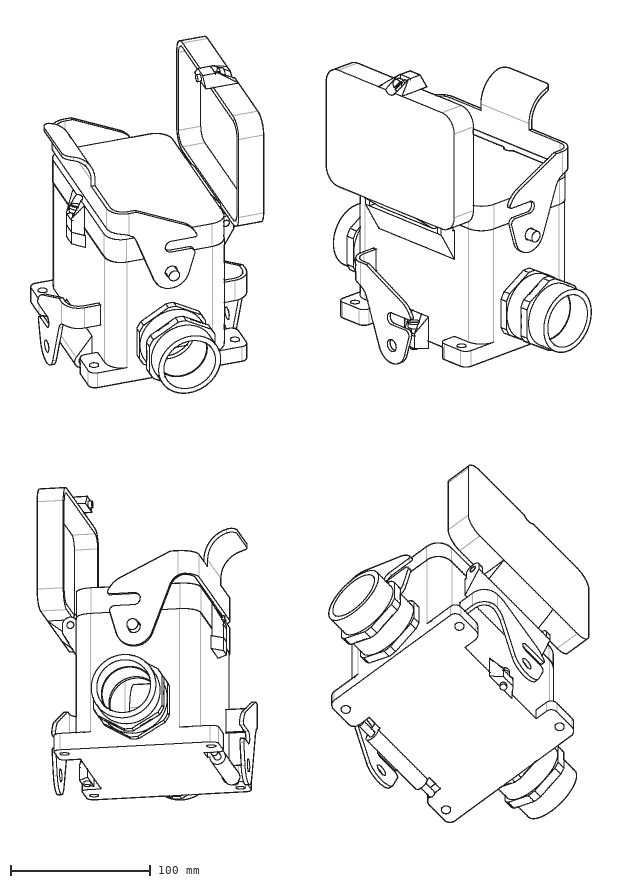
import cadquery as cq
import math


half_length = 66.3
half_depth = 45.0
corner_radius = 12.7
wall = 4.0
foot_height = 19.3
body_top = 94.5
lid_mouth_z = 100.3
cut_reach = 43.8

pin_diameter = 5.0
knuckle_radius = lid_mouth_z - body_top
knuckle_half_width = 27.1
hinge_gap = 7.5
hinge_y = 52.3
ear_radius = 6.0
ear_thickness = 4.0
bracket_half_width = 39.2
bracket_bottom_z = 72.0
pin_overhang = 0.2

lid_height = 19.0
lid_depth = 90.5
lid_floor = 2.2
lid_front_y = hinge_y - hinge_gap - lid_depth

boss_height = 7.2
boss_base_width = 24.5
boss_flat_width = 10.5
boss_overhang = lid_mouth_z - body_top
boss_length = lid_height + boss_overhang
boss_slope_length = 13.1
screw_offset = pin_diameter / 2
screw_tip_length = 2.6
screw_floor = 9.6
head_bottom = 14.2
head_height = 3.3
head_diameter = 9.0
neck_diameter = 4.2
slot_width = 1.3
slot_depth = 1.5
slot_angle = 45
receiver_height = 9.6
receiver_base_width = 26.3

tab_inner_x = 39.2
tab_reach_y = 60.0
tab_height = 12.3
tab_radius = 5.3
tab_hole_diameter = 6.5
tab_hole_x = 55.2
tab_hole_y = 53.5

lever_half_width = 69.8
lever_thickness = 2.8
lever_bend_radius = 12.7
lever_reach = 44.9
lever_foot_radius = 13.8
lever_hole_diameter = 9.0
lever_slot_width = 9.0
lever_slot_z = 20.8
strap_bottom = 37.9
strap_top = 54.7
handle_half_width = 25.0
handle_bend_start = 59.8
handle_bend_radius = 23.0
handle_corner_radius = 6.5
pivot_diameter = 8.0
pivot_tip_x = 76.2
upper_pivot_z = 87.8
lower_pivot_z = 0.2

gland_z = 32.5
gland_tip_x = 109.0
gland_tip_diameter = 47.0
gland_body_diameter = 49.3
gland_bore_diameter = 38.0
gland_entry_diameter = 39.2
gland_entry_depth = 17.5
nut_flats = 50.0
nut_corner_diameter = 54.5
inner_nut_end_x = 72.0
outer_nut_start_x = 86.7
outer_nut_end_x = 93.2


def block(x0, x1, y0, y1, z0, z1):
    return cq.Workplane("XY").box(x1 - x0, y1 - y0, z1 - z0, centered=False).translate((x0, y0, z0))


def rounded_block(half_x, y0, y1, z0, z1, radius):
    return block(-half_x, half_x, y0, y1, z0, z1).edges("|Z").fillet(radius)


def rod_x(diameter, x0, x1, y, z):
    return cq.Workplane("YZ", origin=(x0, 0, 0)).center(y, z).circle(diameter / 2).extrude(x1 - x0)


def rod_z(diameter, z0, z1, x=0, y=0):
    return cq.Workplane("XY", origin=(x, y, z0)).circle(diameter / 2).extrude(z1 - z0)


def tangent_point(point, radius, side):
    """Touching point of the line from a point to a circle about (0, 0); side is +1 or -1."""
    direction = math.atan2(point[1], point[0])
    angle = direction + side * math.acos(radius / math.hypot(*point))
    return (radius * math.cos(angle), radius * math.sin(angle))


def hinge_tab():
    """Tab and knuckle on the +Y edge of a lid, with the hinge axis on the X axis."""
    top_edge = (-hinge_gap, lid_height)
    touch = tangent_point(top_edge, knuckle_radius, -1)
    root_y = -hinge_gap - wall / 2
    return (
        cq.Workplane("YZ", origin=(-knuckle_half_width, 0, 0))
        .moveTo(root_y, 0)
        .lineTo(root_y, lid_height)
        .lineTo(*top_edge)
        .lineTo(*touch)
        .threePointArc((0, -knuckle_radius), (-knuckle_radius, 0))
        .close()
        .extrude(2 * knuckle_half_width)
    )


def trapezoid_boss(base_width, height, length):
    """Upright boss on the plane Y = 0, tapering towards -Y."""
    return (
        cq.Workplane("XY")
        .polyline([
            (-base_width / 2, 0),
            (base_width / 2, 0),
            (boss_flat_width / 2, -height),
            (-boss_flat_width / 2, -height),
        ])
        .close()
        .extrude(length)
    )


def screw_boss():
    """Boss with a sloped top; its wall is the plane Y = 0 and its end the plane Z = 0."""
    slope = (
        cq.Workplane("YZ")
        .polyline([
            (0, boss_length),
            (-boss_height, boss_length - boss_slope_length),
            (-boss_height, boss_length),
        ])
        .close()
        .extrude(boss_base_width, both=True)
    )
    return trapezoid_boss(boss_base_width, boss_height, boss_length).cut(slope)


def screw_recess():
    """Round-backed recess around the screw head, open outwards and upwards."""
    half_width = boss_flat_width / 2
    opening = block(-half_width, half_width, -cut_reach, -screw_offset, screw_floor, boss_length)
    return rod_z(boss_flat_width, screw_floor, boss_length, y=-screw_offset).union(opening)


def screw():
    head_top = head_bottom + head_height
    slot = (
        cq.Workplane("XY")
        .box(2 * head_diameter, slot_width, slot_depth)
        .rotate((0, 0, 0), (0, 0, 1), slot_angle)
        .translate((0, 0, head_top - slot_depth / 2))
    )
    return (
        rod_z(head_diameter, head_bottom, head_top)
        .cut(slot)
        .union(rod_z(neck_diameter, 0, head_bottom))
        .union(rod_z(pin_diameter, -screw_tip_length, 0))
        .translate((0, -screw_offset, 0))
    )


def add_captive_screw(body, place):
    """Adds the boss, recess and screw to a body; place moves them onto its wall."""
    return body.union(place(screw_boss())).cut(place(screw_recess())).union(place(screw()))


def lid():
    """Closed lid with the hinge axis on the X axis and the mouth facing down at Z = 0."""
    back_y = -hinge_gap
    front_y = back_y - lid_depth
    shell = rounded_block(half_length, front_y, back_y, 0, lid_height, corner_radius)
    cavity = rounded_block(
        half_length - wall, front_y + wall, back_y - wall, 0, lid_height - lid_floor, corner_radius - wall
    )
    shell = shell.union(hinge_tab()).cut(cavity)
    shell = shell.cut(rod_x(pin_diameter, -half_length, half_length, 0, 0))
    return add_captive_screw(shell, lambda part: part.translate((0, front_y, -boss_overhang)))


def hinged_lid(opening_angle):
    return lid().rotate((0, 0, 0), (1, 0, 0), -opening_angle).translate((0, hinge_y, lid_mouth_z))


def lever():
    """Lever with its pivot on the X axis and its cross strap on the -Y side."""
    side_plane = cq.Plane(origin=(0, 0, 0), xDir=(0, -1, 0), normal=(-1, 0, 0))
    strap_corner = (26.0, 29.8)
    jaw_corner = (-18.0, 12.3)
    slot_top = lever_slot_z + lever_slot_width / 2
    slot_bottom = lever_slot_z - lever_slot_width / 2
    side_outline = (
        cq.Workplane(side_plane)
        .moveTo(lever_reach, strap_bottom)
        .lineTo(lever_reach, strap_top)
        .lineTo(26.5, strap_top)
        .lineTo(-10.7, 36.8)
        .threePointArc((-16.0, 32.6), (-19.3, 27.5))
        .threePointArc((-19.3, 26.0), (-17.7, slot_top))
        .lineTo(0, slot_top)
        .threePointArc((lever_slot_width / 2, lever_slot_z), (0, slot_bottom))
        .lineTo(-14.7, slot_bottom)
        .threePointArc((-17.0, 14.9), jaw_corner)
        .lineTo(*tangent_point(jaw_corner, lever_foot_radius, 1))
        .threePointArc((0, -lever_foot_radius), tangent_point(strap_corner, lever_foot_radius, -1))
        .lineTo(*strap_corner)
        .tangentArcPoint((37.6, strap_bottom), relative=False)
        .close()
        .extrude(lever_half_width, both=True)
    )
    open_end_y = 2 * lever_foot_radius
    outer = rounded_block(
        lever_half_width, -lever_reach, open_end_y + cut_reach, -cut_reach, 2 * cut_reach, lever_bend_radius
    )
    inner = rounded_block(
        lever_half_width - lever_thickness,
        lever_thickness - lever_reach,
        open_end_y + 2 * cut_reach,
        -cut_reach,
        2 * cut_reach,
        lever_bend_radius - lever_thickness,
    )
    yoke = side_outline.intersect(outer.cut(inner))
    yoke = yoke.cut(rod_x(lever_hole_diameter, -lever_half_width, lever_half_width, 0, 0))
    return yoke.union(lever_handle(side_plane))


def lever_handle(side_plane):
    """Finger grip that rises from the strap and curls outwards."""
    inner_reach = lever_reach - lever_thickness
    tip_reach = inner_reach + handle_bend_radius
    under_radius = handle_bend_radius - lever_thickness
    grip = (
        cq.Workplane(side_plane)
        .moveTo(inner_reach, strap_bottom)
        .lineTo(inner_reach, handle_bend_start)
        .radiusArc((tip_reach, handle_bend_start + handle_bend_radius), handle_bend_radius)
        .lineTo(tip_reach, handle_bend_start + under_radius)
        .radiusArc((lever_reach, handle_bend_start), -under_radius)
        .lineTo(lever_reach, strap_bottom)
        .close()
        .extrude(handle_half_width, both=True)
    )
    plan = block(-handle_half_width, handle_half_width, -tip_reach, 0, 0, 2 * cut_reach)
    return grip.intersect(plan.edges("|Z and <Y").fillet(handle_corner_radius))


def nut(x0, x1):
    """Hexagon with its corners turned down, on the X axis with flats at +Y and -Y."""
    hexagon_diameter = nut_flats / math.cos(math.pi / 6)
    hexagon = (
        cq.Workplane("YZ", origin=(x0, 0, 0))
        .polygon(6, hexagon_diameter)
        .extrude(x1 - x0)
        .rotate((0, 0, 0), (1, 0, 0), 90)
    )
    return hexagon.intersect(rod_x(nut_corner_diameter, x0, x1, 0, 0))


def gland():
    """Gland on the +X wall, along the X axis."""
    return (
        rod_x(gland_tip_diameter, outer_nut_end_x, gland_tip_x, 0, 0)
        .union(rod_x(gland_body_diameter, half_length, outer_nut_end_x, 0, 0))
        .union(nut(half_length, inner_nut_end_x))
        .union(nut(outer_nut_start_x, outer_nut_end_x))
        .cut(rod_x(gland_bore_diameter, half_length, gland_tip_x, 0, 0))
        .cut(rod_x(gland_entry_diameter, gland_tip_x - gland_entry_depth, gland_tip_x, 0, 0))
        .translate((0, 0, gland_z))
    )


def mounting_tab(side_x, side_y):
    tab = block(tab_inner_x, half_length, 0, tab_reach_y, 0, tab_height)
    tab = tab.edges("|Z and >Y").fillet(tab_radius)
    tab = tab.cut(block(0, half_length, 0, half_depth - corner_radius, 0, tab_height))
    tab = tab.cut(rod_z(tab_hole_diameter, 0, tab_height, tab_hole_x, tab_hole_y))
    if side_x < 0:
        tab = tab.mirror("YZ")
    if side_y < 0:
        tab = tab.mirror("XZ")
    return tab


def hinge_bracket():
    """Bracket on the back wall with an ear at each end and the hinge pin between them."""
    inner_y = hinge_y - ear_radius
    outer_y = hinge_y + ear_radius
    root_y = half_depth - wall / 2
    bracket = (
        cq.Workplane("YZ")
        .moveTo(root_y, bracket_bottom_z)
        .lineTo(half_depth, bracket_bottom_z)
        .lineTo(outer_y, body_top)
        .lineTo(outer_y, lid_mouth_z)
        .threePointArc((hinge_y, lid_mouth_z + ear_radius), (inner_y, lid_mouth_z))
        .lineTo(inner_y, body_top)
        .lineTo(root_y, body_top)
        .close()
        .extrude(bracket_half_width, both=True)
    )
    gap_half_width = bracket_half_width - ear_thickness
    gap_top = lid_mouth_z + 2 * ear_radius
    bracket = bracket.cut(block(-gap_half_width, gap_half_width, 0, outer_y, body_top, gap_top))
    pin_end = bracket_half_width + pin_overhang
    return bracket.union(rod_x(pin_diameter, -pin_end, pin_end, hinge_y, lid_mouth_z))


def bottom_hinge():
    """Hinge tab and pin at the front of the underside."""
    pin = rod_x(pin_diameter, -tab_inner_x, tab_inner_x, 0, 0)
    turned = hinge_tab().union(pin).rotate((0, 0, 0), (0, 0, 1), 180)
    return turned.translate((0, -half_depth - hinge_gap, 0))


def screw_receiver():
    """Boss on the front wall that takes the tip of the closed lid's screw."""
    height = boss_height + (-half_depth - lid_front_y)
    boss = trapezoid_boss(receiver_base_width, height, receiver_height)
    return boss.translate((0, -half_depth, body_top - receiver_height))


def housing():
    inner_x = half_length - wall
    inner_y = half_depth - wall
    body = rounded_block(half_length, -half_depth, half_depth, 0, lid_mouth_z, corner_radius)
    for side_x in (-1, 1):
        for side_y in (-1, 1):
            body = body.union(mounting_tab(side_x, side_y))
    body = body.union(hinge_bracket()).union(bottom_hinge()).union(screw_receiver())
    body = body.cut(
        rod_z(pin_diameter, body_top - screw_tip_length, body_top, y=lid_front_y - screw_offset)
    )
    body = add_captive_screw(
        body,
        lambda part: part.rotate((0, 0, 0), (0, 0, 1), 180).translate((0, half_depth, -boss_overhang)),
    )
    body = body.cut(
        rounded_block(inner_x, -inner_y, inner_y, foot_height, lid_mouth_z, corner_radius - wall)
    )
    for side_x in (-1, 1):
        start, end = sorted((side_x * inner_x, side_x * half_length))
        body = body.cut(rod_x(gland_bore_diameter, start, end, 0, gland_z))
        start, end = sorted((side_x * inner_x, side_x * pivot_tip_x))
        body = body.union(rod_x(pivot_diameter, start, end, 0, upper_pivot_z))
    return body


open_lid = hinged_lid(90)
closed_lid = hinged_lid(0).cut(open_lid)

levers = [
    lever().rotate((0, 0, 0), (0, 0, 1), turn).translate((0, 0, pivot_z))
    for turn, pivot_z in ((0, upper_pivot_z), (90, lower_pivot_z))
]
upper_lever, lower_lever = levers

glands = [gland().rotate((0, 0, 0), (0, 0, 1), turn) for turn in (0, 180)]

main_housing = housing().cut(lower_lever)

result = cq.Compound.makeCompound([
    body.solids().val()
    for body in (main_housing, closed_lid, open_lid, upper_lever, lower_lever, *glands)
])